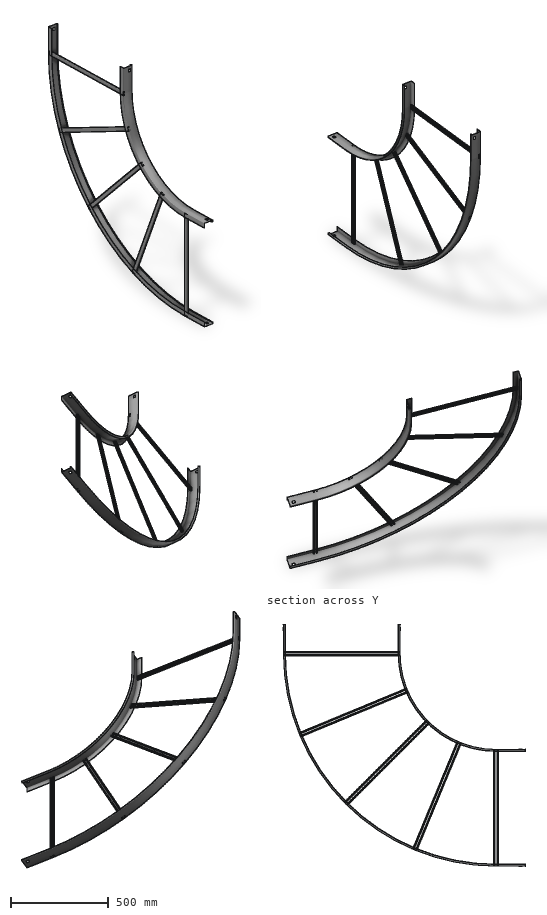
import cadquery as cq
import math

SIZE = 1240.0
HEIGHT = 60.0
LADDER_WIDTH = 600.0
STRAIGHT = 150.0

SHEET = 1.5
FLANGE = 29.0
FRONT_BEND = 2.0
HOOK_RADIUS = 5.6
HOOK_LIP = 9.0

HOLE_LENGTH = 15.0
HOLE_HEIGHT = 12.0
HOLE_END_DISTANCE = 25.0
HOLE_Y = 38.0

RUNG_COUNT = 5
RUNG_WIDTH = 24.0
RUNG_DEPTH = 9.3
RUNG_BEND = 2.2
RUNG_LIP = 7.0
RUNG_GAP = 5.6

OUTER_RADIUS = SIZE - STRAIGHT
INNER_RADIUS = OUTER_RADIUS - LADDER_WIDTH
RUNG_STEP = 90 / (RUNG_COUNT - 1)
CENTRE = OUTER_RADIUS


def rail_path(web):
    """Down one straight run, round a quarter circle and along the other straight run."""
    radius = CENTRE - web
    middle = CENTRE - radius * math.sqrt(0.5)
    return (
        cq.Workplane("XZ")
        .moveTo(web, SIZE)
        .lineTo(web, CENTRE)
        .threePointArc((middle, middle), (CENTRE, web))
        .lineTo(SIZE, web)
    )


def rail_section(web, side):
    """Bent sheet profile with its web at X = web and its flange pointing to that side."""
    hook_y = HEIGHT - HOOK_RADIUS
    hook_width = 2 * HOOK_RADIUS
    lip_y = HEIGHT - HOOK_LIP

    def at(depth, y):
        return (web + side * depth, y)

    def bend_middle(radius):
        offset = FRONT_BEND - radius * math.sqrt(0.5)
        return at(offset, offset)

    return (
        cq.Workplane("XY", origin=(0, 0, SIZE))
        .moveTo(*at(FLANGE, 0))
        .lineTo(*at(FRONT_BEND, 0))
        .threePointArc(bend_middle(FRONT_BEND), at(0, FRONT_BEND))
        .lineTo(*at(0, hook_y))
        .threePointArc(at(HOOK_RADIUS, HEIGHT), at(hook_width, hook_y))
        .lineTo(*at(hook_width, lip_y))
        .lineTo(*at(hook_width - SHEET, lip_y))
        .lineTo(*at(hook_width - SHEET, hook_y))
        .threePointArc(at(HOOK_RADIUS, HEIGHT - SHEET), at(SHEET, hook_y))
        .lineTo(*at(SHEET, FRONT_BEND))
        .threePointArc(bend_middle(FRONT_BEND - SHEET), at(FRONT_BEND, SHEET))
        .lineTo(*at(FLANGE, SHEET))
        .close()
    )


def hole_cutter(web, side):
    """Rectangular blocks through the web near both ends of a rail."""
    near_end = SIZE - HOLE_END_DISTANCE
    in_web = web + side * SHEET / 2
    cutter = cq.Workplane("XY").box(HOLE_LENGTH, HOLE_HEIGHT, HOLE_LENGTH)
    return cutter.translate((in_web, HOLE_Y, near_end)).union(
        cutter.translate((near_end, HOLE_Y, in_web))
    )


def rail(web, side):
    channel = rail_section(web, side).sweep(rail_path(web), transition="right")
    return channel.cut(hole_cutter(web, side))


def rung(angle):
    """Lipped channel, open to the back, along a radius of the bend."""
    start = INNER_RADIUS + RUNG_GAP
    length = OUTER_RADIUS - RUNG_GAP - start

    def bar(front, depth, width, bend=0):
        """Bar along X with its front face at Y = front and its front edges rounded."""
        block = cq.Workplane("YZ", origin=(0, front, 0)).box(
            depth, width, length, centered=(False, True, False)
        )
        return block.edges("|X and <Y").fillet(bend) if bend else block

    body = bar(0, RUNG_DEPTH, RUNG_WIDTH, RUNG_BEND)
    hollow = bar(SHEET, RUNG_DEPTH - 2 * SHEET, RUNG_WIDTH - 2 * SHEET, RUNG_BEND - SHEET)
    slot = bar(SHEET, RUNG_DEPTH, RUNG_WIDTH - 2 * RUNG_LIP)
    return (
        body.cut(hollow)
        .cut(slot)
        .translate((start, SHEET, 0))
        .rotate((0, 0, 0), (0, 1, 0), angle)
        .translate((CENTRE, 0, CENTRE))
    )


outer_rail = rail(0, 1)
inner_rail = rail(LADDER_WIDTH, -1)
rungs = [rung(90 + i * RUNG_STEP) for i in range(RUNG_COUNT)]

result = cq.Compound.makeCompound(
    [outer_rail.val(), inner_rail.val(), *[bar.val() for bar in rungs]]
)